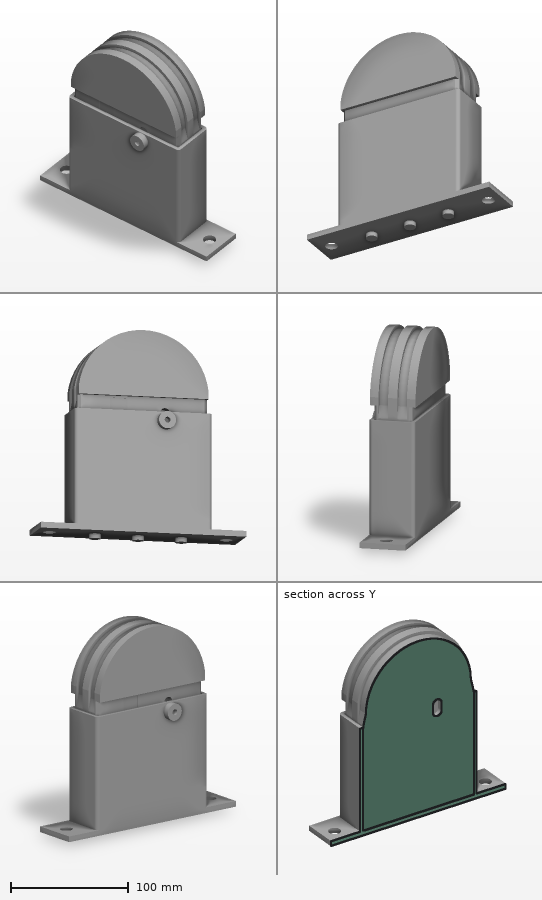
import cadquery as cq
import math


plate_length = 180.0
plate_thickness = 5.0
depth = 40.1
box_length = 120.0
box_top = 105.0
wall = 3.2
outer_corner_radius = wall
cavity_corner_radius = 1.0
mount_hole_diameter = 11.2
mount_hole_offset = 77.4

peg_diameter = 10.0
peg_height = 4.0
peg_spacing = 37.8

knob_diameter = 15.0
knob_height = 6.0
knob_x = 19.5
knob_z = 97.0
socket_diameter = 5.0

block_length = box_length - 2 * wall
block_depth = depth - 2 * wall
block_corner_chamfer = 2.5
cap_bottom = 117.4
cap_radius = 57.2
groove_radius = 54.2
groove_width = 8.5
groove_offset = 8.3
groove_end = 106.5

slot_width = 8.5
slot_top = 108.5
slot_depth = 9.0
recess_width = 15.3
recess_x = -21.0
recess_top = 115.5
recess_depth = 0.2


def cylinder_along_y(diameter, length, x, y, z):
    """Cylinder starting at Y = y and growing toward +Y."""
    plane = cq.Plane(origin=(x, y, z), xDir=(1, 0, 0), normal=(0, 1, 0))
    return cq.Workplane(plane).circle(diameter / 2).extrude(length)


def front_box(width, cut_depth, x, bottom, top):
    """Box that sinks into the front face of the block."""
    return (
        cq.Workplane("XY", origin=(x, -block_depth / 2 + cut_depth / 2, bottom))
        .box(width, cut_depth, top - bottom, centered=(True, True, False))
    )


def make_housing():
    plate = (
        cq.Workplane("XY")
        .box(plate_length, depth, plate_thickness, centered=(True, True, False))
        .faces(">Z").workplane()
        .pushPoints([(-mount_hole_offset, 0), (mount_hole_offset, 0)])
        .hole(mount_hole_diameter)
    )
    wall_height = box_top - plate_thickness
    box = (
        cq.Workplane("XY", origin=(0, 0, plate_thickness))
        .box(box_length, depth, wall_height, centered=(True, True, False))
        .edges("|Z").fillet(outer_corner_radius)
    )
    cavity = (
        cq.Workplane("XY", origin=(0, 0, plate_thickness))
        .box(block_length, block_depth, wall_height, centered=(True, True, False))
        .edges("|Z").fillet(cavity_corner_radius)
    )
    pegs = (
        cq.Workplane("XY")
        .pushPoints([(-peg_spacing, 0), (0, 0), (peg_spacing, 0)])
        .circle(peg_diameter / 2).extrude(-peg_height)
    )
    knob_face = -depth / 2 - knob_height
    knob = cylinder_along_y(knob_diameter, knob_height, knob_x, knob_face, knob_z)
    socket = cylinder_along_y(socket_diameter, knob_height, knob_x, knob_face, knob_z)
    return plate.union(box.cut(cavity)).union(pegs).union(knob).cut(socket)


def make_cap():
    """Half disc whose sides are trimmed flush with the block."""
    half_length = block_length / 2
    side_top = cap_bottom + math.sqrt(cap_radius**2 - half_length**2)
    return (
        cq.Workplane("XZ", origin=(0, depth / 2, 0))
        .moveTo(-half_length, cap_bottom)
        .lineTo(-half_length, side_top)
        .threePointArc((0, cap_bottom + cap_radius), (half_length, side_top))
        .lineTo(half_length, cap_bottom)
        .close()
        .extrude(depth)
    )


def make_groove(y):
    """Ring outside the groove floor, with legs that taper out at the block sides."""
    half_length = block_length / 2
    outer_x = plate_length / 2
    outer_top = cap_bottom + 2 * cap_radius
    return (
        cq.Workplane("XZ", origin=(0, y + groove_width / 2, 0))
        .moveTo(-half_length, groove_end)
        .lineTo(-groove_radius, cap_bottom)
        .threePointArc((0, cap_bottom + groove_radius), (groove_radius, cap_bottom))
        .lineTo(half_length, groove_end)
        .lineTo(outer_x, groove_end)
        .lineTo(outer_x, outer_top)
        .lineTo(-outer_x, outer_top)
        .lineTo(-outer_x, groove_end)
        .close()
        .extrude(groove_width)
    )


def make_slot():
    """Round-ended upright slot, its lower end centred on the knob."""
    end_radius = slot_width / 2
    upper_z = slot_top - end_radius
    front = -block_depth / 2
    slot = front_box(slot_width, slot_depth, knob_x, knob_z, upper_z)
    for z in (knob_z, upper_z):
        slot = slot.union(cylinder_along_y(slot_width, slot_depth, knob_x, front, z))
    return slot


def make_head():
    block_height = cap_bottom - plate_thickness
    block = (
        cq.Workplane("XY", origin=(0, 0, plate_thickness))
        .box(block_length, block_depth, block_height, centered=(True, True, False))
        .edges("|Z").chamfer(block_corner_chamfer)
    )
    head = block.union(make_cap())
    for y in (-groove_offset, groove_offset):
        head = head.cut(make_groove(y))
    recess = front_box(recess_width, recess_depth, recess_x, plate_thickness, recess_top)
    return head.cut(make_slot()).cut(recess)


housing = make_housing()
head = make_head()

result = cq.Compound.makeCompound([housing.val(), head.val()])